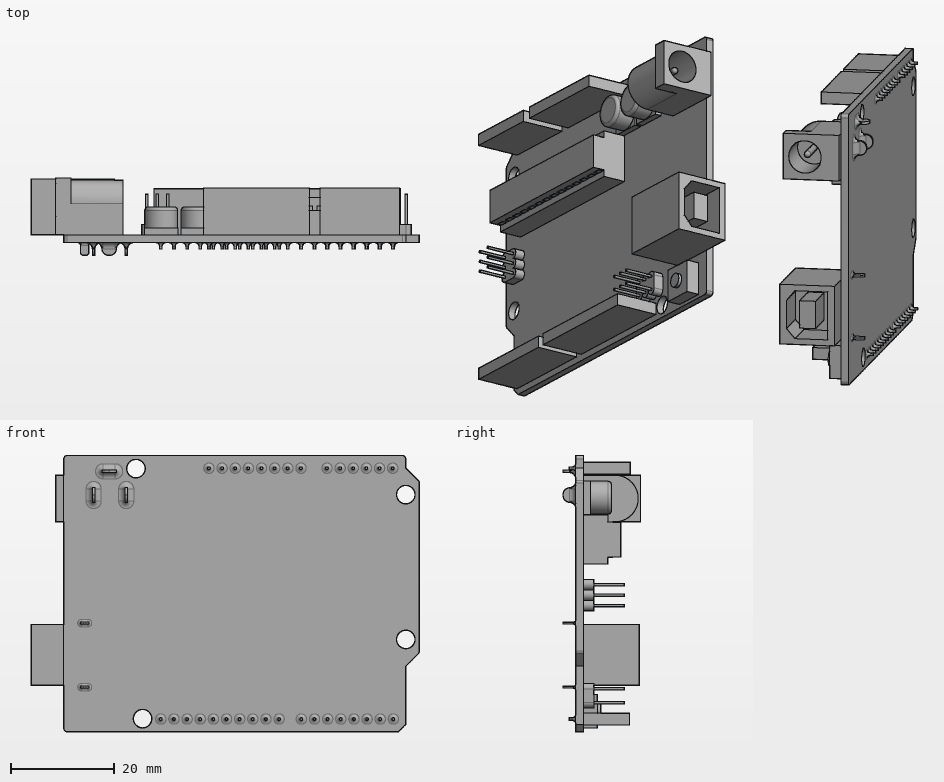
import cadquery as cq
import math


OVERALL_LENGTH = 74.9

BOARD_THICKNESS = 1.5
BOARD_HEIGHT = 53.35
BOARD_LENGTH = 68.6
SHOULDER_X = 66.0
WIDE_BOTTOM = 15.3
WIDE_TOP = 48.3
CORNER_CHAMFER = 1.4
CORNER_RADIUS = 0.7
MOUNT_HOLE_DIAMETER = 3.5
MOUNT_HOLES = [(13.9, 50.8), (SHOULDER_X, 45.8), (SHOULDER_X, 17.8), (15.2, 2.55)]

EIGHT_PIN_SPAN = 17.75
PIN_PITCH = EIGHT_PIN_SPAN / 7
HEADER_WIDTH = 2.3
HEADER_END_MARGIN = 0.1
LOWER_ROW_Z = 2.5
UPPER_ROW_Z = 50.9
LOWER_HEADER_HEIGHT = 8.9
UPPER_HEADER_HEIGHT = 9.1
POWER_BODY_SHIFT = 0.3
HEADERS = [
    (18.7, LOWER_ROW_Z, 10, LOWER_HEADER_HEIGHT, 0),
    (45.85, LOWER_ROW_Z, 8, LOWER_HEADER_HEIGHT, 0),
    (28.0, UPPER_ROW_Z, 8, UPPER_HEADER_HEIGHT, POWER_BODY_SHIFT),
    (50.8, UPPER_ROW_Z, 6, UPPER_HEADER_HEIGHT, 0),
]
PIN_DIAMETER = 0.51
TAIL_LENGTH = 1.3
TAIL_SOLDER_RADIUS = 0.75

TAB_LENGTH = 2.5
JACK_TAB_WIDTH = 2.85
JACK_TAB_THICKNESS = 0.5
JACK_TAB_TIP_RADIUS = 1.35
JACK_SOLDER_RADIUS = 1.2
USB_TAB_WIDTH = 1.65
USB_TAB_THICKNESS = 0.4
USB_TAB_TIP_RADIUS = 0.6
USB_SOLDER_RADIUS = 0.5

USB_LEFT = BOARD_LENGTH - OVERALL_LENGTH
USB_LENGTH = 16.1
USB_BOTTOM = 9.0
USB_TOP = 20.75
USB_HEIGHT = 10.8
USB_MID_Z = (USB_BOTTOM + USB_TOP) / 2
USB_OPENING_WIDTH = 9.45
USB_OPENING_NEAR = 1.35
USB_OPENING_FAR = 9.45
USB_OPENING_CHAMFER_Y = 1.65
USB_OPENING_CHAMFER_Z = 1.95
USB_OPENING_DEPTH = 9.0
TONGUE_NEAR = 3.8
TONGUE_FAR = 7.0
TONGUE_WIDTH = 5.4
TONGUE_RECESS = 0.45
USB_TAB_X = 4.05
USB_TAB_HEIGHTS = [8.6, 21.0]

JACK_LEFT = -1.6
JACK_FLANGE_LENGTH = 3.0
JACK_RIGHT = 11.5
JACK_MID_Z = 45.0
JACK_WIDTH = 9.0
JACK_FLANGE_HEIGHT = 11.0
JACK_BODY_HEIGHT = 10.6
JACK_BORE_DIAMETER = 6.4
JACK_BORE_HEIGHT = 6.75
JACK_BORE_DEPTH = 9.0
JACK_PIN_DIAMETER = 1.3
JACK_PIN_RECESS = 2.0
JACK_SIDE_TABS_X = [5.8, 12.1]
JACK_SIDE_TABS_Z = 45.7
JACK_TOP_TAB_X = 8.8
JACK_TOP_TAB_Z = 50.3

PROG_PITCH = 2.0
PROG_ROW_SPACING = 2.7
PROG_BODY_HEIGHT = 2.0
PROG_PIN_HEIGHT = 7.9
PROG_UPRIGHT_CENTRE = (64.75, 26.4)
PROG_FLAT_CENTRE = (18.05, 7.0)

CHIP_MID_X = 45.9
CHIP_MID_Z = 37.1
SOCKET_WIDTH = 9.45
SOCKET_HEIGHT = 4.7
CHIP_WIDTH = 6.75
CHIP_TOP = 7.2
LEADS_PER_SIDE = 14
LEAD_WIDTH = 1.65
LEAD_TOP = 5.6
LEAD_PROTRUSION = 0.1
CHIP_LENGTH = LEADS_PER_SIDE * PIN_PITCH

CAP_CENTRES_X = [18.8, 25.85]
CAP_Z = 45.2
CAP_DIAMETER = 6.4
CAP_BASE_SIDE = 6.5
CAP_BASE_HEIGHT = 1.35
CAP_HEIGHT = 5.4
CAP_TOP_RADIUS = 0.7

BUTTON_X = 6.0
BUTTON_Z = 4.0
BUTTON_BASE_SIDE = 6.5
BUTTON_BASE_HEIGHT = 2.7
BUTTON_DIAMETER = 2.8
BUTTON_HEIGHT = 3.4


def raised(profile, height):
    """Extrude an XZ profile from the component face towards +Y."""
    return profile.extrude(-height)


def component_face(x=0, z=0):
    """XZ plane on the component face of the board, centred at (x, z)."""
    return cq.Workplane("XZ", origin=(x, BOARD_THICKNESS, z))


def block(x0, x1, z0, z1, height):
    """Rectangular block standing on the component face."""
    centre = component_face((x0 + x1) / 2, (z0 + z1) / 2)
    return raised(centre.rect(x1 - x0, z1 - z0), height)


def make_board():
    diagonal = BOARD_LENGTH - SHOULDER_X
    outline = [
        (0, 0),
        (SHOULDER_X - CORNER_CHAMFER, 0),
        (SHOULDER_X, CORNER_CHAMFER),
        (SHOULDER_X, WIDE_BOTTOM - diagonal),
        (BOARD_LENGTH, WIDE_BOTTOM),
        (BOARD_LENGTH, WIDE_TOP),
        (SHOULDER_X, WIDE_TOP + diagonal),
        (SHOULDER_X, BOARD_HEIGHT),
        (0, BOARD_HEIGHT),
    ]
    board = cq.Workplane("XZ").polyline(outline).close().extrude(-BOARD_THICKNESS)
    board = board.edges("|Y and (<X or >X or >Z)").fillet(CORNER_RADIUS)
    holes = cq.Workplane("XZ").pushPoints(MOUNT_HOLES).circle(MOUNT_HOLE_DIAMETER / 2)
    return board.cut(holes.extrude(-BOARD_THICKNESS))


def solder_section(pin_radius, solder_radius):
    """Half section of a pin tail (axis along local Y) with a concave solder fillet."""
    reach = solder_radius * (1 - math.sqrt(0.5))
    return (
        cq.Workplane("XY")
        .lineTo(pin_radius + solder_radius, 0)
        .threePointArc((pin_radius + reach, -reach), (pin_radius, -solder_radius))
        .lineTo(0, -solder_radius)
        .close()
    )


def make_tail():
    """Pin tail with its solder cone, pointing to -Y from the origin."""
    radius = PIN_DIAMETER / 2
    cone = solder_section(radius, TAIL_SOLDER_RADIUS).revolve(360, (0, 0), (0, 1))
    return cone.union(cq.Workplane("XZ").circle(radius).extrude(TAIL_LENGTH))


def make_tab(width, thickness, tip_radius, solder_radius):
    """Flat tab, wide along X, with a solder bead around its root."""
    straight = width - thickness
    half = straight / 2
    tab = (
        cq.Workplane("XY")
        .rect(width, 2 * TAB_LENGTH)
        .extrude(thickness / 2, both=True)
        .edges("|Z and <Y")
        .fillet(tip_radius)
        .intersect(cq.Workplane("XZ").rect(2 * width, 2 * width).extrude(TAB_LENGTH))
    )
    end = solder_section(thickness / 2, solder_radius).revolve(360, (0, 0), (0, 1))
    side = solder_section(thickness / 2, solder_radius).extrude(half, both=True)
    side = side.union(side.mirror("YZ")).rotate((0, 0, 0), (0, 1, 0), 90)
    return tab.union(side).union(end.translate((half, 0, 0))).union(end.translate((-half, 0, 0)))


def add_headers(part):
    tail = make_tail()
    for first_x, row_z, count, height, shift in HEADERS:
        margin = PIN_PITCH / 2 + HEADER_END_MARGIN
        last_x = first_x + (count - 1) * PIN_PITCH
        low, high = row_z - HEADER_WIDTH / 2, row_z + HEADER_WIDTH / 2
        body = block(first_x - margin, last_x + margin, low, high, height)
        part = part.union(body.translate((shift, 0, 0)))
        for index in range(count):
            part = part.union(tail.translate((first_x + index * PIN_PITCH, 0, row_z)))
    return part


def make_usb():
    body = block(USB_LEFT, USB_LEFT + USB_LENGTH, USB_BOTTOM, USB_TOP, USB_HEIGHT)
    half = USB_OPENING_WIDTH / 2
    slope_start = USB_OPENING_FAR - USB_OPENING_CHAMFER_Y
    flat_half = half - USB_OPENING_CHAMFER_Z
    mouth = cq.Workplane("YZ", origin=(USB_LEFT, BOARD_THICKNESS, USB_MID_Z))
    opening = mouth.polyline([
        (USB_OPENING_NEAR, -half),
        (slope_start, -half),
        (USB_OPENING_FAR, -flat_half),
        (USB_OPENING_FAR, flat_half),
        (slope_start, half),
        (USB_OPENING_NEAR, half),
    ]).close().extrude(USB_OPENING_DEPTH)
    tongue = (
        mouth.workplane(offset=TONGUE_RECESS)
        .center((TONGUE_NEAR + TONGUE_FAR) / 2, 0)
        .rect(TONGUE_FAR - TONGUE_NEAR, TONGUE_WIDTH)
        .extrude(USB_OPENING_DEPTH - TONGUE_RECESS)
    )
    usb = body.cut(opening).union(tongue)
    tab = make_tab(USB_TAB_WIDTH, USB_TAB_THICKNESS, USB_TAB_TIP_RADIUS, USB_SOLDER_RADIUS)
    return [usb] + [tab.translate((USB_TAB_X, 0, z)) for z in USB_TAB_HEIGHTS]


def make_jack():
    half = JACK_WIDTH / 2
    bottom, top = JACK_MID_Z - half, JACK_MID_Z + half
    flange = block(JACK_LEFT, JACK_LEFT + JACK_FLANGE_LENGTH, bottom, top, JACK_FLANGE_HEIGHT)
    face = cq.Workplane("YZ", origin=(JACK_LEFT, BOARD_THICKNESS, JACK_MID_Z))
    barrel = (
        face.moveTo(0, -half)
        .lineTo(JACK_BODY_HEIGHT - half, -half)
        .threePointArc((JACK_BODY_HEIGHT, 0), (JACK_BODY_HEIGHT - half, half))
        .lineTo(0, half)
        .close()
        .extrude(JACK_RIGHT - JACK_LEFT)
    )
    bore_face = face.center(JACK_BORE_HEIGHT, 0)
    bore = bore_face.circle(JACK_BORE_DIAMETER / 2).extrude(JACK_BORE_DEPTH)
    pin_radius = JACK_PIN_DIAMETER / 2
    pin_start = JACK_PIN_RECESS + pin_radius
    pin = (
        bore_face.workplane(offset=pin_start)
        .circle(pin_radius)
        .extrude(JACK_BORE_DEPTH - pin_start)
    )
    tip_centre = (JACK_LEFT + pin_start, BOARD_THICKNESS + JACK_BORE_HEIGHT, JACK_MID_Z)
    tip = cq.Workplane("XY").sphere(pin_radius).translate(tip_centre)
    jack = flange.union(barrel).cut(bore).union(pin).union(tip)

    tab = make_tab(JACK_TAB_WIDTH, JACK_TAB_THICKNESS, JACK_TAB_TIP_RADIUS, JACK_SOLDER_RADIUS)
    upright_tab = tab.rotate((0, 0, 0), (0, 1, 0), 90)
    tabs = [upright_tab.translate((x, 0, JACK_SIDE_TABS_Z)) for x in JACK_SIDE_TABS_X]
    tabs.append(tab.translate((JACK_TOP_TAB_X, 0, JACK_TOP_TAB_Z)))
    return [jack] + tabs


def make_programming_header(centre, turn):
    """Three round-ended bodies side by side along Z, two pins each, turned about Y."""
    header = cq.Workplane("XZ")
    pin_offset = PROG_ROW_SPACING / 2
    for index in (-1, 0, 1):
        place = component_face(z=index * PROG_PITCH)
        body = raised(place.slot2D(PROG_ROW_SPACING + PROG_PITCH, PROG_PITCH), PROG_BODY_HEIGHT)
        pins = place.pushPoints([(-pin_offset, 0), (pin_offset, 0)]).circle(PIN_DIAMETER / 2)
        header = header.union(body).union(raised(pins, PROG_PIN_HEIGHT))
    return header.rotate((0, 0, 0), (0, 1, 0), turn).translate((centre[0], 0, centre[1]))


def make_chip():
    place = component_face(CHIP_MID_X, CHIP_MID_Z)
    socket = raised(place.rect(CHIP_LENGTH, SOCKET_WIDTH), SOCKET_HEIGHT)
    chip = raised(place.rect(CHIP_LENGTH, CHIP_WIDTH), CHIP_TOP)
    lead_span = CHIP_WIDTH + 2 * LEAD_PROTRUSION
    leads = raised(
        place.rarray(PIN_PITCH, 0.75, LEADS_PER_SIDE, 1).rect(LEAD_WIDTH, lead_span), LEAD_TOP
    )
    return socket.union(chip).union(leads)


def make_capacitor(x):
    base = raised(component_face(x, CAP_Z).rect(CAP_BASE_SIDE, CAP_BASE_SIDE), CAP_BASE_HEIGHT)
    can = raised(component_face(x, CAP_Z).circle(CAP_DIAMETER / 2), CAP_HEIGHT)
    return base.union(can.faces(">Y").edges().fillet(CAP_TOP_RADIUS))


def make_button():
    place = component_face(BUTTON_X, BUTTON_Z)
    base = raised(place.rect(BUTTON_BASE_SIDE, BUTTON_BASE_SIDE), BUTTON_BASE_HEIGHT)
    return base.union(raised(place.circle(BUTTON_DIAMETER / 2), BUTTON_HEIGHT))


components = make_usb() + make_jack()
components.append(make_programming_header(PROG_UPRIGHT_CENTRE, 0))
components.append(make_programming_header(PROG_FLAT_CENTRE, 90))
components.append(make_chip())
components += [make_capacitor(x) for x in CAP_CENTRES_X]
components.append(make_button())

result = add_headers(make_board())
for component in components:
    result = result.union(component)